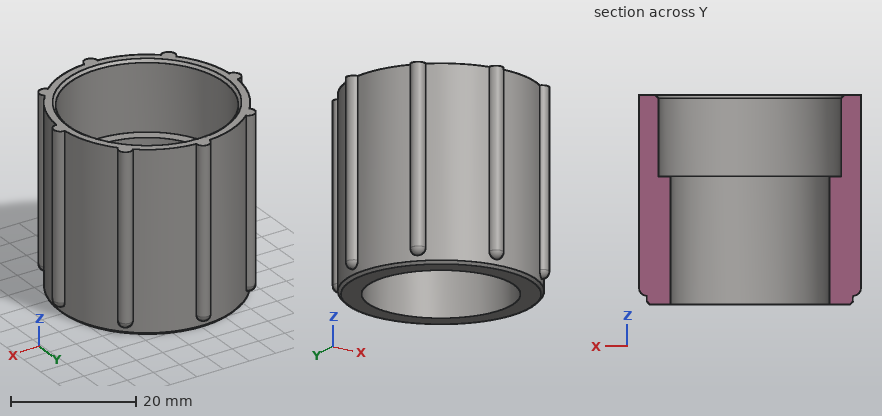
import cadquery as cq

body_diameter = 33.0
body_height = 33.5
bottom_chamfer = 0.5

through_bore_diameter = 25.4
socket_diameter = 29.2
socket_depth = 13.0
mouth_chamfer = 0.5

rib_count = 8
rib_radius = 1.25
rib_straight_start = 2.65

body_radius = body_diameter / 2


def make_body():
    """Plain cylinder with its lower outer edge chamfered."""
    cylinder = cq.Workplane("XY").circle(body_radius).extrude(body_height)
    return cylinder.faces("<Z").edges().chamfer(bottom_chamfer)


def make_rib():
    """Rod along Z with a domed lower end, placed on the +X side of the body."""
    rod = (
        cq.Workplane("XY", origin=(body_radius, 0, rib_straight_start))
        .circle(rib_radius)
        .extrude(body_height - rib_straight_start)
    )
    dome = cq.Workplane("XY", origin=(body_radius, 0, rib_straight_start)).sphere(rib_radius)
    return rod.union(dome)


def make_bore():
    """Through bore with a wider socket at the top and a chamfered socket mouth."""
    bore_radius = through_bore_diameter / 2
    socket_radius = socket_diameter / 2
    ledge_height = body_height - socket_depth
    profile = (
        cq.Workplane("XZ")
        .moveTo(0, 0)
        .lineTo(bore_radius, 0)
        .lineTo(bore_radius, ledge_height)
        .lineTo(socket_radius, ledge_height)
        .lineTo(socket_radius, body_height - mouth_chamfer)
        .lineTo(socket_radius + mouth_chamfer, body_height)
        .lineTo(0, body_height)
        .close()
    )
    return profile.revolve(360, (0, 0, 0), (0, 1, 0))


def make_part():
    part = make_body()
    rib = make_rib()
    for index in range(rib_count):
        angle = index * 360 / rib_count
        part = part.union(rib.rotate((0, 0, 0), (0, 0, 1), angle))
    return part.cut(make_bore())


result = make_part()